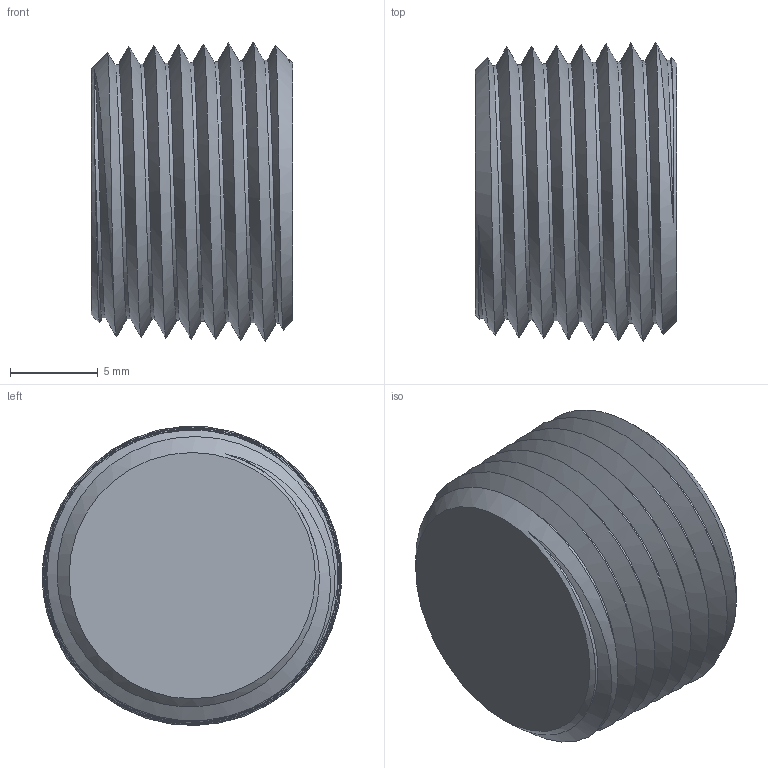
import cadquery as cq
import math

length = 11.43

pitch = 25.4 / 18
taper = 1 / 32
taper_angle = math.atan(taper)
flank_angle = math.radians(30)
crest_radius = 8.212
root_radius = 7.17
first_crest = 1.07

small_face_radius = 7.0
large_face_radius = 7.34

embed = 0.08
overrun = 2 * pitch
blank_margin = 0.5


def revolve_about_x(points):
    """Revolve a closed (x, radius) outline about the X axis."""
    return cq.Workplane("XY").polyline(points).close().revolve(360, (0, 0, 0), (1, 0, 0))


def make_core():
    """Solid cone at root depth, running past both ends."""
    start = -overrun
    end = length + overrun
    return revolve_about_x([
        (start, 0),
        (start, root_radius + taper * start),
        (end, root_radius + taper * end),
        (end, 0),
    ])


def make_ridge():
    """Helical ridge of triangular section, built along Z and then laid along X."""
    turns = math.floor((length + 2 * overrun) / pitch)
    start = first_crest - overrun
    slant_pitch = pitch / math.cos(taper_angle)
    base_radius = root_radius - embed
    half_base = (crest_radius - base_radius) * math.tan(flank_angle)

    def helix(offset, cone_radius):
        position = start + offset
        return cq.Wire.makeHelix(
            slant_pitch,
            turns * slant_pitch,
            cone_radius + taper * position,
            center=cq.Vector(0, 0, position),
            angle=math.degrees(taper_angle),
        ).Edges()[0]

    rear = helix(-half_base, base_radius)
    crest = helix(0, crest_radius)
    front = helix(half_base, base_radius)
    edge_pairs = [(rear, crest), (crest, front), (front, rear)]
    faces = [cq.Face.makeRuledSurface(first, second) for first, second in edge_pairs]
    for end_point in (cq.Edge.startPoint, cq.Edge.endPoint):
        corners = [end_point(edge) for edge in (rear, crest, front)]
        faces.append(cq.Face.makeFromWires(cq.Wire.makePolygon(corners, close=True)))
    ridge = cq.Solid.makeSolid(cq.Shell.makeShell(faces))

    ridge = ridge.rotate(cq.Vector(0, 0, 0), cq.Vector(0, 1, 0), 90)
    return ridge.rotate(cq.Vector(0, 0, 0), cq.Vector(1, 0, 0), -90)


def make_blank():
    """Envelope with the flat ends and the 45 degree chamfers."""
    rim_radius = crest_radius + taper * length + blank_margin
    return revolve_about_x([
        (0, 0),
        (0, small_face_radius),
        (rim_radius - small_face_radius, rim_radius),
        (length - (rim_radius - large_face_radius), rim_radius),
        (length, large_face_radius),
        (length, 0),
    ])


threaded_rod = make_core().union(cq.Workplane(make_ridge()))
result = threaded_rod.intersect(make_blank())